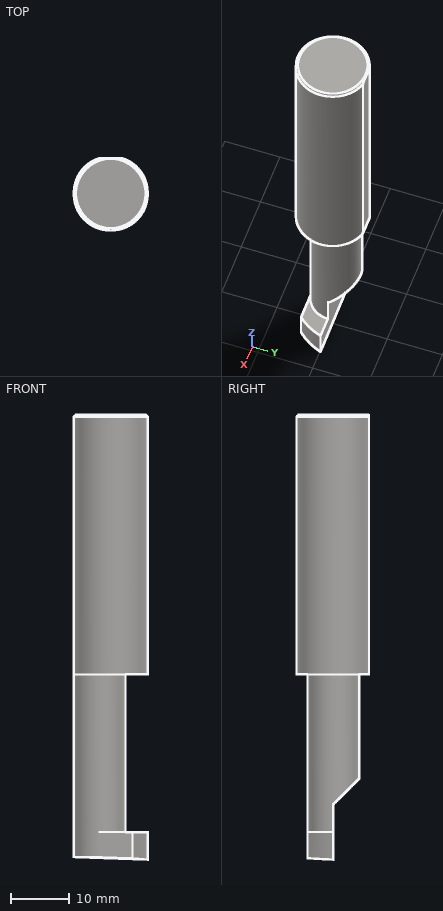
import cadquery as cq
import math

total_length = 76.2
shank_diameter = 12.7
shank_length = 44.45
shank_chamfer = 0.4
shank_flat_y = 6.1

neck_diameter = 8.9

ramp_start_height = 9.5
ramp_angle = 45.0

head_height = 4.75
head_corner_x = 3.75
head_flank_radius = 12.0

end_relief_angle_x = 2.0
end_relief_angle_y = 2.0

shank_radius = shank_diameter / 2
neck_radius = neck_diameter / 2
neck_length = total_length - shank_length
neck_center_x = neck_radius - shank_radius

cutter_depth = shank_diameter
cutter_width = 4 * shank_diameter


def make_shank():
    """Round shank with a chamfered top and a full-length flat."""
    shank = (
        cq.Workplane("XY")
        .workplane(offset=neck_length)
        .circle(shank_radius)
        .extrude(shank_length)
        .faces(">Z")
        .chamfer(shank_chamfer)
    )
    flat_cutter = (
        cq.Workplane("XY")
        .box(cutter_width, cutter_depth, total_length, centered=(True, False, False))
        .translate((0, shank_flat_y, 0))
    )
    return shank.cut(flat_cutter)


def make_neck():
    """Round neck from the end of the tool up to the shank."""
    return cq.Workplane("XY").center(neck_center_x, 0).circle(neck_radius).extrude(neck_length)


def make_head():
    """Block with a flat front tangent to the neck and a round flank up to the cutting edge."""
    return (
        cq.Workplane("XY")
        .moveTo(neck_center_x, 0)
        .lineTo(neck_center_x, -neck_radius)
        .lineTo(head_corner_x, -neck_radius)
        .radiusArc((shank_radius, 0), -head_flank_radius)
        .close()
        .extrude(head_height)
    )


def make_rake_cutter():
    """Everything behind the rake face (the XZ plane) and below the ramp."""
    ramp_rise = cutter_depth * math.tan(math.radians(ramp_angle))
    return (
        cq.Workplane("YZ")
        .moveTo(0, 0)
        .lineTo(cutter_depth, 0)
        .lineTo(cutter_depth, ramp_start_height + ramp_rise)
        .lineTo(0, ramp_start_height)
        .close()
        .extrude(cutter_width / 2, both=True)
    )


def make_end_cutter():
    """Slab whose tilted top passes through the cutting corner at height zero."""
    return (
        cq.Workplane("XY")
        .box(cutter_width, cutter_width, cutter_depth, centered=(True, True, False))
        .translate((0, 0, -cutter_depth))
        .rotate((0, 0, 0), (0, 1, 0), end_relief_angle_x)
        .rotate((0, 0, 0), (1, 0, 0), -end_relief_angle_y)
        .translate((shank_radius, 0, 0))
    )


cutting_end = make_neck().union(make_head()).cut(make_rake_cutter()).cut(make_end_cutter())
result = make_shank().union(cutting_end)